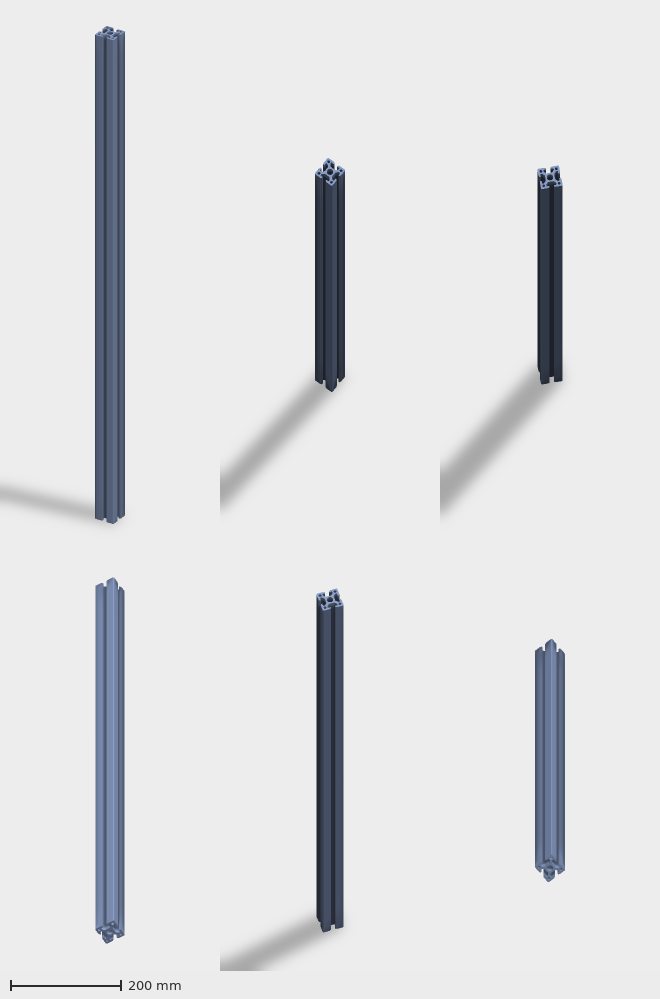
import cadquery as cq

side = 40.0
length = 1000.0
corner_radius = 2.0

recess_width = 12.2
recess_depth = 1.0
mouth_width = 8.2
lip_thickness = 3.85
cavity_width = 18.7
floor_width = 10.3
floor_to_axis = 8.55
cavity_radius = 0.75
floor_radius = 3.2

bore_diameter = 11.6
corner_hole_diameter = 5.2
corner_hole_offset = 14.25

half_side = side / 2
lip_to_axis = half_side - lip_thickness
slant_rise = (cavity_width - floor_width) / 2
slant_end_to_axis = floor_to_axis + slant_rise
slots = 4
slot_angle = 360 / slots


def blank():
    """Solid square bar with rounded long edges."""
    bar = cq.Workplane("XY").rect(side, side).extrude(length)
    return bar.edges("|Z").fillet(corner_radius)


def channel(width, inner, outer):
    """Straight full-length cutter on the +Y side, between two distances from the axis."""
    depth = outer - inner
    return cq.Workplane("XY").center(0, inner + depth / 2).rect(width, depth).extrude(length)


def cavity():
    """Undercut part of the slot: wide below the lips, tapering at 45 degrees to the floor."""
    half_cavity = cavity_width / 2
    half_floor = floor_width / 2
    outline = [
        (-half_cavity, lip_to_axis),
        (-half_cavity, slant_end_to_axis),
        (-half_floor, floor_to_axis),
        (half_floor, floor_to_axis),
        (half_cavity, slant_end_to_axis),
        (half_cavity, lip_to_axis),
    ]
    cutter = cq.Workplane("XY").polyline(outline).close().extrude(length)
    cutter = cutter.faces("<Y").edges("|Z").fillet(floor_radius)
    cutter = cutter.faces("<X").edges("|Z").fillet(cavity_radius)
    return cutter.faces(">X").edges("|Z").fillet(cavity_radius)


def slot():
    """Complete T-slot cutter for the +Y side."""
    recess = channel(recess_width, half_side - recess_depth, half_side)
    mouth = channel(mouth_width, floor_to_axis + floor_radius, half_side)
    return cavity().union(mouth).union(recess)


def cut_slots(bar):
    cutter = slot()
    for i in range(slots):
        bar = bar.cut(cutter.rotate((0, 0, 0), (0, 0, 1), i * slot_angle))
    return bar


def cut_holes(bar):
    """Central bore and one hole near each corner, all through the full length."""
    bore = cq.Workplane("XY").circle(bore_diameter / 2).extrude(length)
    spacing = 2 * corner_hole_offset
    corner_holes = (
        cq.Workplane("XY")
        .rarray(spacing, spacing, 2, 2)
        .circle(corner_hole_diameter / 2)
        .extrude(length)
    )
    return bar.cut(bore).cut(corner_holes)


result = cut_holes(cut_slots(blank())).solids()